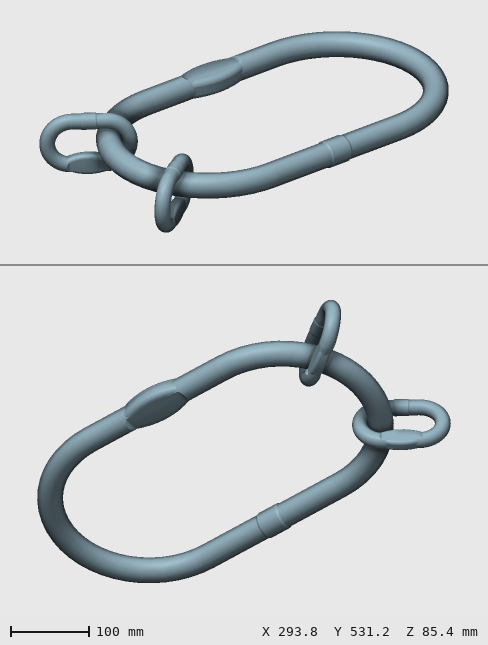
import cadquery as cq
import math

master_bar_diameter = 33.0
master_bend_radius = 126.5
master_straight_length = 209.5
master_weld_diameter = 35.5
master_pad_inset = 0

sub_bar_diameter = 20.0
sub_bend_radius = 31.0
sub_straight_length = 44.0
sub_weld_diameter = 22.0
sub_link_angle = 35
hanging_clearance = 0.1

master_weld_length = 33.5
master_weld_crest_length = 28.0
master_pad_width = 46.0
master_pad_side_radius = 107.0
master_pad_half_thickness = 13.0
master_pad_edge_fillet = 8.0
master_pad_flat_length = 82.0
master_pad_ramp_length = 5.0
sub_pad_inset = 1.5
sub_scale = sub_bar_diameter / master_bar_diameter


def oval_bar(bar_diameter, bend_radius, straight_length):
    """Round bar bent to an oval in the XY plane, long axis along Y."""
    half_straight = straight_length / 2
    path = (
        cq.Workplane("XY")
        .moveTo(bend_radius, -half_straight)
        .lineTo(bend_radius, half_straight)
        .threePointArc((0, half_straight + bend_radius), (-bend_radius, half_straight))
        .lineTo(-bend_radius, -half_straight)
        .threePointArc((0, -half_straight - bend_radius), (bend_radius, -half_straight))
        .close()
    )
    section = cq.Workplane("XZ", origin=(bend_radius, -half_straight, 0)).circle(bar_diameter / 2)
    return section.sweep(path)


def weld_collar(bar_diameter, weld_diameter, weld_length, crest_length):
    """Collar around the Y axis with sloping ends."""
    bar_radius = bar_diameter / 2
    weld_radius = weld_diameter / 2
    return (
        cq.Workplane("XY")
        .polyline([
            (0, -weld_length / 2),
            (bar_radius, -weld_length / 2),
            (weld_radius, -crest_length / 2),
            (weld_radius, crest_length / 2),
            (bar_radius, weld_length / 2),
            (0, weld_length / 2),
        ])
        .close()
        .revolve(360, (0, 0, 0), (0, 1, 0))
    )


def name_pad(scale):
    """Lens-shaped pad along the Y axis with rounded edges."""
    half_width = master_pad_width / 2 * scale
    side_radius = master_pad_side_radius * scale
    half_thickness = master_pad_half_thickness * scale
    half_length = math.sqrt(side_radius**2 - (side_radius - half_width) ** 2)
    return (
        cq.Workplane("XY")
        .workplane(offset=-half_thickness)
        .moveTo(0, -half_length)
        .threePointArc((half_width, 0), (0, half_length))
        .threePointArc((-half_width, 0), (0, -half_length))
        .close()
        .extrude(2 * half_thickness)
        .faces("<Z or >Z")
        .edges()
        .fillet(master_pad_edge_fillet * scale)
    )


def pad_flats(bar_diameter, scale):
    """Cutters for flats on the bar's +Z and -Z sides; each end ramp runs on, past the bar surface."""
    half_flat = master_pad_flat_length / 2 * scale
    ramp_length = master_pad_ramp_length * scale
    half_thickness = master_pad_half_thickness * scale
    ramp_rise = bar_diameter / 2 - half_thickness
    upper = (
        cq.Workplane("YZ")
        .polyline([
            (-half_flat, half_thickness),
            (half_flat, half_thickness),
            (half_flat + 2 * ramp_length, half_thickness + 2 * ramp_rise),
            (-half_flat - 2 * ramp_length, half_thickness + 2 * ramp_rise),
        ])
        .close()
        .extrude(bar_diameter / 2, both=True)
    )
    return upper.union(upper.mirror("XY"))


def chain_link(bar_diameter, bend_radius, straight_length, weld_diameter, pad_inset, scale):
    """Oval link in the XY plane, weld collar on its +X side and name pad on its -X side."""
    collar = weld_collar(
        bar_diameter, weld_diameter, master_weld_length * scale, master_weld_crest_length * scale
    )
    return (
        oval_bar(bar_diameter, bend_radius, straight_length)
        .union(collar.translate((bend_radius, 0, 0)))
        .cut(pad_flats(bar_diameter, scale).translate((-bend_radius, 0, 0)))
        .union(name_pad(scale).translate((pad_inset - bend_radius, 0, 0)))
    )


def sub_link(side_angle):
    """Upright sub-link, weld collar on top, hung at an angle from the -Y direction."""
    half_opening = sub_straight_length / 2 + sub_bend_radius - sub_bar_diameter / 2
    master_inner_radius = master_bend_radius - master_bar_diameter / 2
    hanging_distance = master_inner_radius + half_opening - hanging_clearance
    bend_centre_y = -master_straight_length / 2
    return (
        chain_link(
            sub_bar_diameter, sub_bend_radius, sub_straight_length,
            sub_weld_diameter, sub_pad_inset, sub_scale,
        )
        .rotate((0, 0, 0), (0, 1, 0), -90)
        .translate((0, bend_centre_y - hanging_distance, 0))
        .rotate((0, bend_centre_y, 0), (0, bend_centre_y, 1), side_angle)
    )


master_link = chain_link(
    master_bar_diameter, master_bend_radius, master_straight_length,
    master_weld_diameter, master_pad_inset, 1,
)
sub_links = [sub_link(angle) for angle in (-sub_link_angle, sub_link_angle)]

result = cq.Compound.makeCompound([master_link.val(), *[link.val() for link in sub_links]])